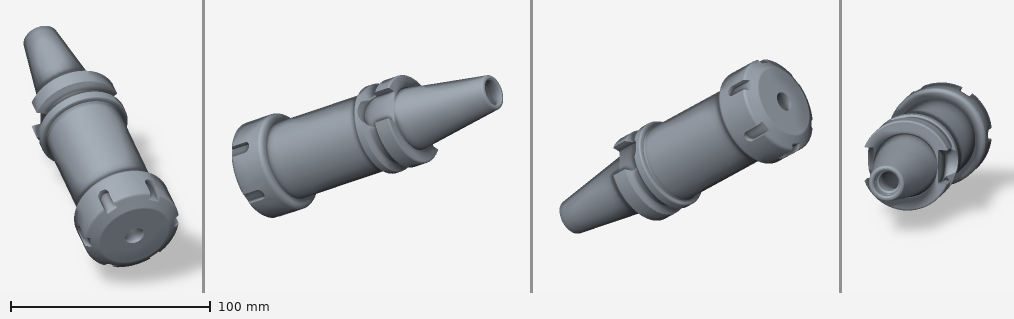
import cadquery as cq
import math

total_length = 148.4
bore_diameter = 10.1

taper_small_diameter = 17.8
taper_large_diameter = 32.0
taper_end_fillet = 1.3

mouth_diameter = 14.5
entry_diameter = 13.0
entry_depth = 4.5
step_diameter = 12.5
step_length = 0.9
entry_chamfer_angle = 45.0

flange_start = 49.5
flange_end = 70.2
flange_diameter = 46.0
flange_edge_fillet = 0.9
groove_diameter = 38.5
groove_start = 60.3
groove_end = 63.7
groove_flank_angle = 30.0
groove_corner_fillet = 0.3
relief_diameter = 33.0
relief_depth = 0.6
collar_diameter = 41.0
collar_length = 0.9

slot_width = 17.2
slot_floor_offset = 16.5
slot_end = 67.7
slot_floor_fillet = 0.5

body_diameter = 40.0

nut_start = 126.0
nut_diameter = 50.0
nut_rear_fillet = 2.2
nut_cone_start = 144.5
nut_front_diameter = 36.8
nut_shoulder_fillet = 1.8
nut_front_fillet = 1.6
nut_seat_end = 142.5

spanner_slot_count = 6
spanner_slot_width = 6.0
spanner_slot_start = 133.5
spanner_floor_radius = 22.0


def disc(diameter, start, end):
    """Cylinder along X between two stations."""
    return cq.Workplane("YZ", origin=(start, 0, 0)).circle(diameter / 2).extrude(end - start)


def revolve_about_x(points):
    """Revolve an (x, radius) outline about the X axis."""
    return cq.Workplane("XY").polyline(points).close().revolve(360, (0, 0, 0), (1, 0, 0))


def make_taper():
    taper = revolve_about_x([
        (0, 0),
        (0, taper_small_diameter / 2),
        (flange_start, taper_large_diameter / 2),
        (flange_end, taper_large_diameter / 2),
        (flange_end, 0),
    ])
    return taper.faces("<X").edges().fillet(taper_end_fillet)


def make_flange():
    rim = disc(flange_diameter, flange_start, flange_end).edges().fillet(flange_edge_fillet)
    outer_radius = flange_diameter / 2
    groove_radius = groove_diameter / 2
    flank_run = (outer_radius - groove_radius) * math.tan(math.radians(groove_flank_angle))
    groove = revolve_about_x([
        (groove_start - flank_run, outer_radius),
        (groove_start, groove_radius),
        (groove_end, groove_radius),
        (groove_end + flank_run, outer_radius),
    ])
    groove = groove.edges(cq.selectors.RadiusNthSelector(0)).fillet(groove_corner_fillet)
    relief = revolve_about_x([
        (flange_start, 0),
        (flange_start, relief_diameter / 2),
        (flange_start + relief_depth, taper_large_diameter / 2),
        (flange_start + relief_depth, 0),
    ])
    return rim.cut(groove).cut(relief)


def make_collar():
    return revolve_about_x([
        (flange_end, 0),
        (flange_end, collar_diameter / 2),
        (flange_end + collar_length, body_diameter / 2),
        (flange_end + collar_length, 0),
    ])


def make_drive_slot(side):
    """Round-ended slot with a flat floor, on the side of Y given by its sign."""
    end_radius = slot_width / 2
    depth = flange_diameter / 2 - slot_floor_offset
    middle = side * (slot_floor_offset + depth / 2)
    straight_length = slot_end - end_radius - flange_start
    straight = cq.Workplane("XY").box(straight_length, depth, slot_width).translate(
        (flange_start + straight_length / 2, middle, 0)
    )
    round_end = (
        cq.Workplane("XZ", origin=(slot_end - end_radius, middle, 0))
        .circle(end_radius)
        .extrude(depth / 2, both=True)
    )
    slot = straight.union(round_end)
    floor_face = "<Y" if side > 0 else ">Y"
    return slot.faces(floor_face).edges("not <X").fillet(slot_floor_fillet)


def make_stepped_entry():
    """Entry of the bore, narrowing through conical steps to the bore diameter."""
    mouth_radius = mouth_diameter / 2
    entry_radius = entry_diameter / 2
    step_radius = step_diameter / 2
    bore_radius = bore_diameter / 2
    slope = math.tan(math.radians(entry_chamfer_angle))
    step_start = entry_depth + (entry_radius - step_radius) / slope
    step_end = step_start + step_length
    return revolve_about_x([
        (0, 0),
        (0, mouth_radius),
        ((mouth_radius - entry_radius) / slope, entry_radius),
        (entry_depth, entry_radius),
        (step_start, step_radius),
        (step_end, step_radius),
        (step_end + (step_radius - bore_radius) / slope, bore_radius),
        (step_end + (step_radius - bore_radius) / slope, 0),
    ])


def make_holder():
    holder = make_taper().union(make_flange()).union(make_collar())
    holder = holder.union(disc(body_diameter, flange_end, nut_seat_end))
    for side in (-1, 1):
        holder = holder.cut(make_drive_slot(side))
    return holder.cut(make_stepped_entry()).cut(disc(bore_diameter, 0, nut_seat_end))


def make_spanner_slot(angle):
    """Round-ended slot, open at the front of the nut, turned about X from -Y."""
    end_radius = spanner_slot_width / 2
    slot_length = total_length - spanner_slot_start - end_radius
    depth = nut_diameter / 2 - spanner_floor_radius
    slot = (
        cq.Workplane("XZ", origin=(0, -spanner_floor_radius, 0))
        .moveTo(total_length, end_radius)
        .hLine(-slot_length)
        .threePointArc((spanner_slot_start, 0), (total_length - slot_length, -end_radius))
        .hLine(slot_length)
        .close()
        .extrude(depth)
    )
    return slot.rotate((0, 0, 0), (1, 0, 0), angle)


def make_nut():
    blank = revolve_about_x([
        (nut_start, 0),
        (nut_start, nut_diameter / 2),
        (nut_cone_start, nut_diameter / 2),
        (total_length, nut_front_diameter / 2),
        (total_length, 0),
    ])
    blank = blank.faces("<X").edges().fillet(nut_rear_fillet)
    blank = blank.faces(">X").edges().fillet(nut_front_fillet)
    shoulder = cq.selectors.BoxSelector(
        (nut_cone_start - 0.1, -nut_diameter, -nut_diameter),
        (nut_cone_start + 0.1, nut_diameter, nut_diameter),
    )
    blank = blank.edges("%CIRCLE").edges(shoulder).fillet(nut_shoulder_fillet)
    for index in range(spanner_slot_count):
        blank = blank.cut(make_spanner_slot(index * 360 / spanner_slot_count))
    seat = disc(body_diameter, nut_start, nut_seat_end)
    return blank.cut(seat).cut(disc(bore_diameter, nut_seat_end, total_length))


holder = make_holder()
nut = make_nut()

result = cq.Compound.makeCompound([holder.val(), nut.val()])